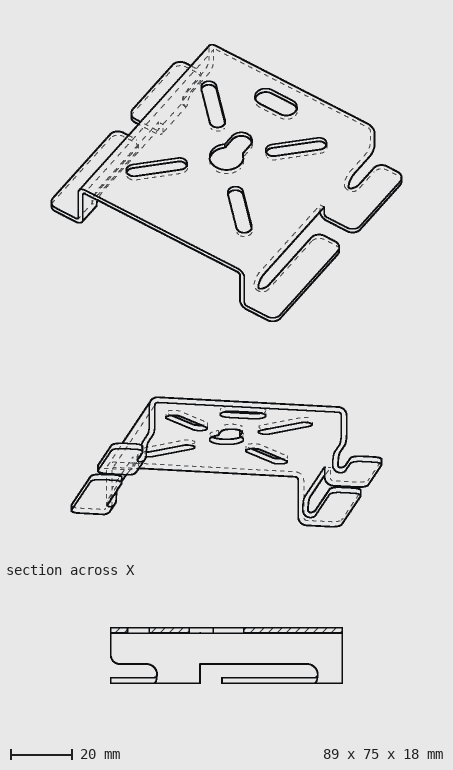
import cadquery as cq
import math

LENGTH_X = 89.0
WIDTH_Y = 75.0
HEIGHT = 18.0
SHEET = 1.8
INNER_BEND = 1.0
OUTER_BEND = INNER_BEND + SHEET
CHANNEL_WIDTH = 65.0
CORNER_RADIUS = 3.0

REAR_FOOT_LENGTH = 29.0
FRONT_FOOT_LENGTH = 39.0
FOOT_WIDTH = 10.3
REAR_NECK = 14.0
FRONT_NECK = 8.0
WEB_EDGE_Z = 6.2

SLOT_WIDTH = 7.0
SLOT_LENGTH = 15.0
SLOT_Y = 28.5
KEYHOLE_DIAMETER = 11.0
KEYHOLE_NECK_WIDTH = 7.0
KEYHOLE_NECK_Y = 8.5
DIAGONAL_WIDTH = 5.0
DIAGONAL_LENGTH = 20.0
DIAGONAL_OFFSET = 16.25

HALF_X = LENGTH_X / 2
HALF_Y = WIDTH_Y / 2
WEB_X = CHANNEL_WIDTH / 2
BEND_X = WEB_X + INNER_BEND
BEND_Z = SHEET + INNER_BEND
FOOT_EDGE_X = HALF_X - FOOT_WIDTH
REAR_FOOT_START = HALF_Y - REAR_FOOT_LENGTH
FRONT_FOOT_END = -HALF_Y + FRONT_FOOT_LENGTH
RELIEF_RADIUS = WEB_EDGE_Z - BEND_Z
RELIEF_TO_FOOT_EDGE = FOOT_EDGE_X - BEND_X
BEND_ALLOWANCE = RELIEF_RADIUS - RELIEF_TO_FOOT_EDGE
BEND_STEPS = 6
MARGIN = 0.3


def round_bend(body, x, z, radius):
    """Fillet the one edge parallel to Y that passes through (x, z)."""
    reach = SHEET / 2
    edge = cq.selectors.BoxSelector((x - reach, -reach, z - reach), (x + reach, reach, z + reach))
    return body.edges("|Y").edges(edge).fillet(radius)


def make_half_channel():
    """+X half of a hat section of constant thickness, with two bends parallel to Y."""
    half_profile = [
        (0, HEIGHT),
        (WEB_X, HEIGHT),
        (WEB_X, SHEET),
        (HALF_X, SHEET),
        (HALF_X, 0),
        (WEB_X - SHEET, 0),
        (WEB_X - SHEET, HEIGHT - SHEET),
        (0, HEIGHT - SHEET),
    ]
    half = cq.Workplane("XZ").polyline(half_profile).close().extrude(HALF_Y, both=True)
    half = round_bend(half, WEB_X, HEIGHT, OUTER_BEND)
    half = round_bend(half, WEB_X - SHEET, HEIGHT - SHEET, INNER_BEND)
    half = round_bend(half, WEB_X, SHEET, INNER_BEND)
    return round_bend(half, WEB_X - SHEET, 0, OUTER_BEND)


def relief_in_web(tip_y, web_end_y):
    """Opening below the web edge, with a quarter-round end at the neck."""
    centre_y = tip_y + RELIEF_RADIUS
    diagonal = RELIEF_RADIUS * math.sqrt(0.5)
    return (
        cq.Workplane("YZ", origin=(WEB_X - SHEET - MARGIN, 0, 0))
        .moveTo(tip_y, BEND_Z)
        .threePointArc((centre_y - diagonal, BEND_Z + diagonal), (centre_y, WEB_EDGE_Z))
        .lineTo(web_end_y, WEB_EDGE_Z)
        .lineTo(web_end_y, BEND_Z)
        .close()
        .extrude(SHEET + 2 * MARGIN)
    )


def bend_point(radius, angle, y):
    """Point around the lower bend axis; angle runs from the web (0) to the foot."""
    return cq.Vector(BEND_X - radius * math.cos(angle), y, BEND_Z - radius * math.sin(angle))


def relief_in_bend(tip_y, end_y):
    """Continuation of the rounded end around the lower bend, lofted through radial sections."""
    near = INNER_BEND - MARGIN
    far = OUTER_BEND + MARGIN
    sections = []
    for step in range(BEND_STEPS + 1):
        fraction = step / BEND_STEPS
        angle = math.radians(90) * fraction
        across = BEND_ALLOWANCE * fraction
        edge_y = tip_y + RELIEF_RADIUS - math.sqrt(RELIEF_RADIUS**2 - across**2)
        corners = [
            bend_point(near, angle, edge_y),
            bend_point(far, angle, edge_y),
            bend_point(far, angle, end_y),
            bend_point(near, angle, end_y),
        ]
        sections.append(cq.Wire.makePolygon(corners, close=True))
    return cq.Workplane(cq.Solid.makeLoft(sections))


def relief_in_foot(tip_y, end_y):
    """Strip between the bend and the inner edge of the foot, ending on the same round."""
    centre_y = tip_y + RELIEF_RADIUS
    centre_x = FOOT_EDGE_X - RELIEF_RADIUS

    def on_round(across):
        return (centre_x + across, centre_y - math.sqrt(RELIEF_RADIUS**2 - across**2))

    return (
        cq.Workplane("XY", origin=(0, 0, -MARGIN))
        .moveTo(*on_round(BEND_ALLOWANCE))
        .threePointArc(on_round((BEND_ALLOWANCE + RELIEF_RADIUS) / 2), (FOOT_EDGE_X, centre_y))
        .lineTo(FOOT_EDGE_X, end_y)
        .lineTo(BEND_X, end_y)
        .close()
        .extrude(SHEET + 2 * MARGIN)
    )


def cut_relief(body, tip_y, foot_end_y):
    """Free one foot from the +X web, from the neck to the +Y end of the foot."""
    body = body.cut(relief_in_web(tip_y, foot_end_y))
    body = body.cut(relief_in_bend(tip_y, foot_end_y))
    return body.cut(relief_in_foot(tip_y, foot_end_y))


def cut_foot_gap(body):
    """Square gap between the rear foot and the front foot of the +X side."""
    start_x = WEB_X - SHEET - MARGIN
    gap_length = REAR_FOOT_START - FRONT_FOOT_END
    gap = cq.Workplane("XY").box(HALF_X + MARGIN - start_x, gap_length, WEB_EDGE_Z, centered=False)
    return body.cut(gap.translate((start_x, FRONT_FOOT_END, 0)))


def round_corners(body):
    """Round the free corners of the feet and the rear lower corner of the web."""
    body = body.edges("|Z").edges(">X").fillet(CORNER_RADIUS)
    for foot_end_y in (HALF_Y, FRONT_FOOT_END):
        corner = cq.selectors.BoxSelector(
            (FOOT_EDGE_X - MARGIN, foot_end_y - MARGIN, -MARGIN),
            (FOOT_EDGE_X + MARGIN, foot_end_y + MARGIN, SHEET + MARGIN),
        )
        body = body.edges("|Z").edges(corner).fillet(CORNER_RADIUS)
    web_corner = cq.selectors.BoxSelector(
        (WEB_X - SHEET - MARGIN, HALF_Y - MARGIN, WEB_EDGE_Z - MARGIN),
        (WEB_X + MARGIN, HALF_Y + MARGIN, WEB_EDGE_Z + MARGIN),
    )
    return body.edges("|X").edges(web_corner).fillet(CORNER_RADIUS)


def make_side():
    """+X half of the bracket with its two feet cut out."""
    side = make_half_channel()
    side = cut_relief(side, REAR_FOOT_START + REAR_NECK, HALF_Y)
    side = cut_relief(side, -HALF_Y + FRONT_NECK, FRONT_FOOT_END)
    side = cut_foot_gap(side)
    return round_corners(side)


def plate_plane():
    """Workplane on the underside of the top plate."""
    return cq.Workplane("XY", origin=(0, 0, HEIGHT - SHEET))


def cut_plate_openings(body):
    """Rear slot, keyhole and four diagonal slots through the top plate."""
    body = body.cut(plate_plane().center(0, SLOT_Y).slot2D(SLOT_LENGTH, SLOT_WIDTH).extrude(SHEET))
    body = body.cut(plate_plane().circle(KEYHOLE_DIAMETER / 2).extrude(SHEET))
    neck = (
        plate_plane()
        .center(0, KEYHOLE_NECK_Y / 2)
        .slot2D(KEYHOLE_NECK_Y + KEYHOLE_NECK_WIDTH, KEYHOLE_NECK_WIDTH, 90)
        .extrude(SHEET)
    )
    body = body.cut(neck)
    for side_x in (-1, 1):
        for side_y in (-1, 1):
            diagonal = (
                plate_plane()
                .center(side_x * DIAGONAL_OFFSET, side_y * DIAGONAL_OFFSET)
                .slot2D(DIAGONAL_LENGTH, DIAGONAL_WIDTH, 45 * side_x * side_y)
                .extrude(SHEET)
            )
            body = body.cut(diagonal)
    return body


side = make_side()
result = cut_plate_openings(side.union(side.mirror("YZ")).clean())